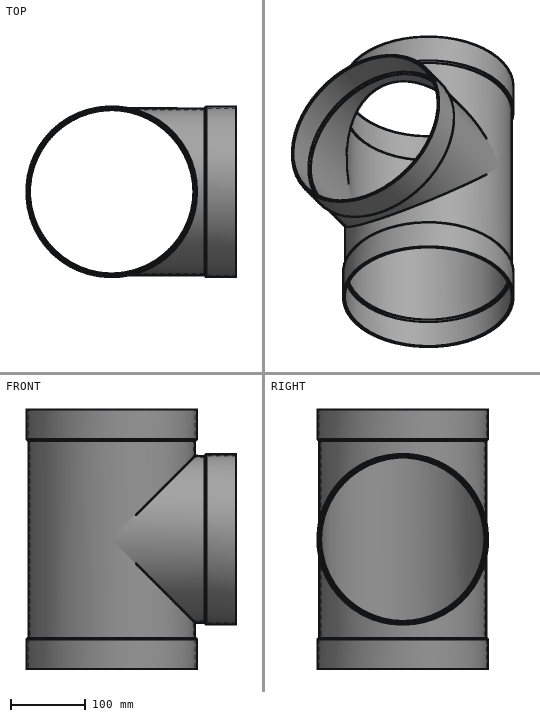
import cadquery as cq

height = 350.0
overall_width = 282.5
wall = 2.5
bore_diameter = 220.0
socket_depth = 40.0
taper_length = wall

bore_radius = bore_diameter / 2
pipe_radius = bore_radius + wall
socket_radius = pipe_radius + wall
half_height = height / 2
branch_reach = overall_width - socket_radius


def revolve_about_z(outline):
    """Solid of revolution about Z from a closed (radius, height) outline."""
    return cq.Workplane("XZ").polyline(outline).close().revolve(360, (0, 0, 0), (0, 1, 0))


def socket_profile(radius, end_radius, reach):
    """Points (radius, height) where a pipe flares through a cone into its wider socket end."""
    socket_start = reach - socket_depth
    taper_start = socket_start - taper_length
    return [
        (radius, taper_start),
        (end_radius, socket_start),
        (end_radius, reach),
        (0, reach),
    ]


def tee(radius, end_radius):
    """Solid vertical run with a socket at each end and a socketed side branch along +X."""
    upper_profile = socket_profile(radius, end_radius, half_height)
    lower_profile = [(r, -z) for r, z in reversed(upper_profile)]
    run = revolve_about_z(lower_profile + upper_profile)

    branch_profile = socket_profile(radius, end_radius, branch_reach)
    branch = revolve_about_z([(0, 0), (radius, 0)] + branch_profile)
    return run.union(branch.rotate((0, 0, 0), (0, 1, 0), 90))


body = tee(pipe_radius, socket_radius)
cavity = tee(bore_radius, pipe_radius)
result = body.cut(cavity)